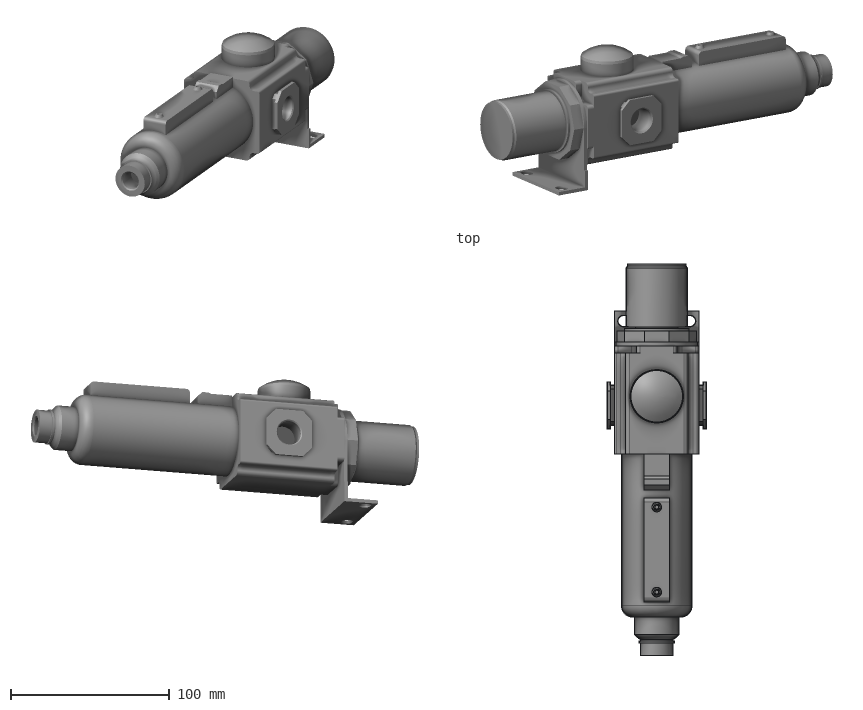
import cadquery as cq
import math


overall_width = 62.5
overall_length = 247.0
overall_height = 83.0

body_half_width = 26.7
body_half_height = 27.0
body_length = 64.0
body_wall_x = 19.8
body_floor_z = 21.0
body_top_fillet = 2.5
body_inner_fillet = 3.0
body_side_fillet = 1.35
cap_length = 4.5
cap_wall_x = 12.8
cap_floor_z = 14.3
cap_top_fillet = 2.35
cap_inner_fillet = 3.0
cap_side_fillet = 2.2

plate_thickness = 2.2
plate_radius = 25.7
foot_length = 22.0
flare_top = -28.0
slot_radius = 3.5
slot_length = 9.0
slot_offset_x = 20.0
slot_setback = 6.5

nut_sides = 10
nut_radius = 25.2
nut_thickness = 7.2
flange_radius = 20.3
flange_thickness = 1.5
neck_radius = 13.3
neck_length = 1.0
knob_radius = 19.3
knob_length = 39.8
knob_rim_radius = 18.5
knob_rim_length = 1.5
knob_rim_taper = 1.0

port_y = 30.9
port_flange_size = 29.6
port_flange_corner = 6.0
port_flange_thickness = 2.0
port_neck_size = 25.5
port_neck_corner = 2.5
port_bore_radius = 7.7
port_bore_depth = 14.8

gauge_y = 36.5
gauge_radius = 16.8
gauge_rim_radius = 16.3
gauge_rim_bottom = 35.0
gauge_rim_top = 36.8
gauge_top = 42.2

bowl_radius = 22.2
bowl_length = 102.8
bowl_fillet = 7.5
boss_radius = 14.0
boss_end = -113.5
taper_mid_radius = 12.5
taper_mid = -115.0
groove_radius = 10.4
taper_end = -116.8
collar_start = -117.8
collar_end = -119.0
collar_radius = 11.0
tube_radius = 10.4
tube_bore_radius = 5.7
tube_bore_depth = 12.4

bore_bevel = 0.7
bevel_angle = 90

strip_width = 15.8
strip_base = 17.3
latch_height = 28.0
latch_ridge_height = 28.7
latch_ridge_start = -13.8
latch_ridge_rise = 1.7
latch_slope_start = -19.5
latch_end = -22.5
latch_end_height = 25.5
guard_start = -27.7
guard_end = -93.0
guard_height = 30.0
guard_fillet = 2.35

screw_ys = (-33.3, -87.0)
screw_base_radius = 3.0
screw_top_radius = 2.0
screw_height = 1.7
socket_radius = 1.2
socket_depth = 1.0

cap_end = body_length + cap_length
plate_end = cap_end + plate_thickness
nut_end = plate_end + nut_thickness
flange_end = nut_end + flange_thickness
neck_end = flange_end + neck_length
knob_end = neck_end + knob_length

tube_end = knob_end - overall_length
port_reach = overall_width / 2
foot_bottom = gauge_top - overall_height


def turned(points):
    """Solid of revolution about the Y axis from (y, radius) points."""
    return cq.Workplane("YZ").polyline(points).close().revolve(360, (0, 0, 0), (1, 0, 0))


def disc(start, end, radius):
    return turned([(start, 0), (start, radius), (end, radius), (end, 0)])


def notched_block(start, end, wall_x, floor_z, top_fillet, inner_fillet, side_fillet):
    """Block along Y with its four corners cut back to wall_x and floor_z, all edges rounded."""
    length = end - start
    middle = (start + end) / 2
    upright = cq.Workplane("XY").box(2 * wall_x, length, 2 * body_half_height)
    crossbar = cq.Workplane("XY").box(2 * body_half_width, length, 2 * floor_z)
    block = upright.union(crossbar).translate((0, middle, 0))
    rounded_edges = (
        (wall_x, body_half_height, top_fillet),
        (wall_x, floor_z, inner_fillet),
        (body_half_width, floor_z, side_fillet),
    )
    for x, z, radius in rounded_edges:
        for side in (-1, 1):
            for level in (-1, 1):
                corner = (side * x, middle, level * z)
                block = block.edges(cq.NearestToPointSelector(corner)).fillet(radius)
    return block


def bracket():
    """L-shaped bracket: round-topped plate, flared at the bottom, with a slotted foot."""
    plate = (
        cq.Workplane("XZ", origin=(0, cap_end, 0))
        .moveTo(-plate_radius, 0)
        .threePointArc((0, plate_radius), (plate_radius, 0))
        .lineTo(plate_radius, flare_top)
        .lineTo(body_half_width, flare_top)
        .lineTo(body_half_width, foot_bottom)
        .lineTo(-body_half_width, foot_bottom)
        .lineTo(-body_half_width, flare_top)
        .lineTo(-plate_radius, flare_top)
        .close()
        .extrude(-plate_thickness)
    )
    foot = (
        cq.Workplane("XY", origin=(0, cap_end, foot_bottom))
        .box(2 * body_half_width, foot_length, plate_thickness, centered=(True, False, False))
    )
    slots = (
        cq.Workplane("XY", origin=(0, cap_end + foot_length - slot_setback, foot_bottom))
        .pushPoints([(-slot_offset_x, 0), (slot_offset_x, 0)])
        .slot2D(slot_length, 2 * slot_radius)
        .extrude(plate_thickness)
    )
    return plate.union(foot.cut(slots))


def knob_assembly():
    """Ten-sided lock nut, thin flange, neck and the knob with its reduced rim."""
    nut = (
        cq.Workplane("XZ", origin=(0, plate_end, 0))
        .polygon(nut_sides, 2 * nut_radius)
        .extrude(-nut_thickness)
    )
    flange = disc(nut_end, flange_end, flange_radius)
    neck = disc(flange_end, neck_end, neck_radius)
    rim_start = knob_end - knob_rim_length
    knob = turned([
        (neck_end, 0),
        (neck_end, knob_radius),
        (rim_start - knob_rim_taper, knob_radius),
        (rim_start, knob_rim_radius),
        (knob_end, knob_rim_radius),
        (knob_end, 0),
    ])
    return nut.union(flange).union(neck).union(knob)


def chamfered_square(start_x, end_x, size, corner):
    """Square prism along X, centred on the port axis, with its corners cut off."""
    return (
        cq.Workplane("YZ", origin=(start_x, port_y, 0))
        .rect(size, size)
        .extrude(end_x - start_x)
        .edges("|X")
        .chamfer(corner)
    )


def port():
    """Port on the +X side, without its bore."""
    flange_inner_x = port_reach - port_flange_thickness
    neck = chamfered_square(0, flange_inner_x, port_neck_size, port_neck_corner)
    flange = chamfered_square(flange_inner_x, port_reach, port_flange_size, port_flange_corner)
    return neck.union(flange)


def bored(part, face, radius, depth):
    """Part with a blind bore, bevelled at its mouth, in the centre of the outermost face."""
    return (
        part.faces(face)
        .workplane(centerOption="CenterOfBoundBox")
        .cskHole(2 * radius, 2 * (radius + bore_bevel), bevel_angle, depth)
    )


def gauge():
    """Round gauge with a domed window, revolved about its vertical axis."""
    rise = gauge_top - gauge_rim_top
    dome_radius = (gauge_rim_radius**2 + rise**2) / (2 * rise)
    dome_centre_z = gauge_top - dome_radius
    mid_x = gauge_rim_radius / 2
    dome_point = (mid_x, dome_centre_z + math.sqrt(dome_radius**2 - mid_x**2))
    return (
        cq.Workplane("XZ", origin=(0, gauge_y, 0))
        .lineTo(gauge_radius, 0)
        .lineTo(gauge_radius, gauge_rim_bottom)
        .lineTo(gauge_rim_radius, gauge_rim_top)
        .threePointArc(dome_point, (0, gauge_top))
        .close()
        .revolve(360, (0, 0, 0), (0, 1, 0))
    )


def bowl():
    """Bowl with a rounded end, drain boss tapering to a collar, and the drain tube."""
    shell = disc(-bowl_length, 0, bowl_radius).faces("<Y").edges().fillet(bowl_fillet)
    drain = turned([
        (-bowl_length, 0),
        (-bowl_length, boss_radius),
        (boss_end, boss_radius),
        (taper_mid, taper_mid_radius),
        (taper_end, groove_radius),
        (collar_start, groove_radius),
        (collar_start, collar_radius),
        (collar_end, collar_radius),
        (collar_end, tube_radius),
        (tube_end, tube_radius),
        (tube_end, 0),
    ])
    return shell.union(drain)


def latch():
    ridge_crest = latch_ridge_start - latch_ridge_rise
    return (
        cq.Workplane("YZ")
        .polyline([
            (0, strip_base),
            (0, latch_height),
            (latch_ridge_start, latch_height),
            (ridge_crest, latch_ridge_height),
            (latch_slope_start, latch_ridge_height),
            (latch_end, latch_end_height),
            (latch_end, strip_base),
        ])
        .close()
        .extrude(strip_width / 2, both=True)
    )


def guard():
    """Sight guard with rounded top ends and two socket screws."""
    length = guard_start - guard_end
    middle = (guard_start + guard_end) / 2
    cover = (
        cq.Workplane("XY", origin=(0, middle, strip_base))
        .rect(strip_width, length)
        .extrude(guard_height - strip_base)
        .edges("|X and >Z")
        .fillet(guard_fillet)
    )
    screw = (
        cq.Workplane("XY")
        .circle(screw_base_radius)
        .workplane(offset=screw_height)
        .circle(screw_top_radius)
        .loft()
        .faces(">Z")
        .workplane()
        .hole(2 * socket_radius, socket_depth)
    )
    for y in screw_ys:
        cover = cover.union(screw.translate((0, y, guard_height)))
    return cover


body = notched_block(
    0, body_length, body_wall_x, body_floor_z,
    body_top_fillet, body_inner_fillet, body_side_fillet,
)
cap = notched_block(
    body_length, cap_end, cap_wall_x, cap_floor_z,
    cap_top_fillet, cap_inner_fillet, cap_side_fillet,
)

result = body.union(cap).union(bracket()).union(knob_assembly()).union(gauge())
result = result.union(bowl()).union(latch()).union(guard())
result = result.union(port()).union(port().mirror("YZ"))
for port_face in ("<X", ">X"):
    result = bored(result, port_face, port_bore_radius, port_bore_depth)
result = bored(result, "<Y", tube_bore_radius, tube_bore_depth)